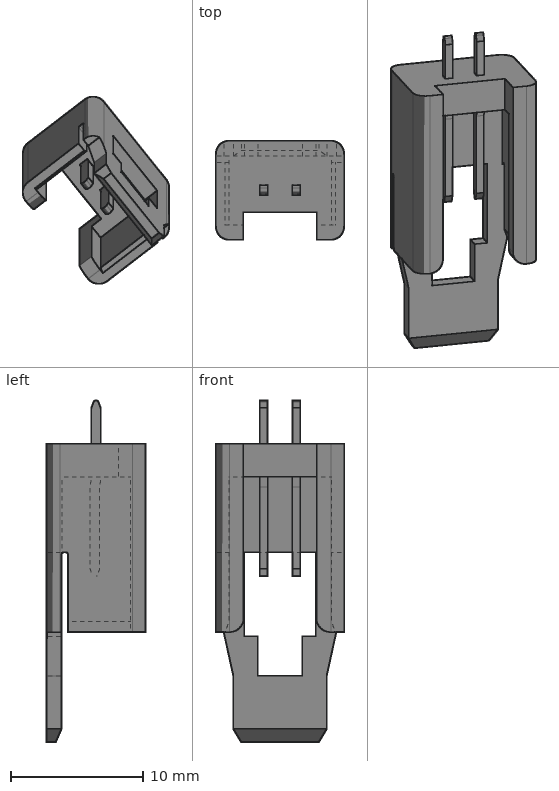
import cadquery as cq

housing_width = 9.7
housing_depth = 7.5
overall_height = 25.8
housing_bottom = 8.3
housing_top = 22.52
corner_radius = 1.03

opening_width = 5.52
opening_depth = 2.1
lip_thickness = 1.15
cavity_width = 7.75
cavity_roof = 20.05
entry_flare = 0.28
entry_flare_height = 0.83

plate_thickness = 1.15
plate_front = housing_depth - plate_thickness
slot_width = 0.46
slot_top = 14.32
slot_round = 0.15
window_width = 5.37
window_bottom = 8.0
notch_width = 3.35
notch_bottom = 5.03
tongue_width = 7.07
tongue_root_width = 8.51
tip_width = 5.85
tip_height = 1.0
tip_thickness = 0.72

pin_spacing = 2.48
pin_width = 0.6
pin_depth = 0.72
pin_bottom = 12.51
pin_y = housing_depth / 2
pin_taper = 0.57
pin_tip_depth = 0.35
pin_tip_crown = 0.1
pin_jog = 0.1
pin_jog_bottom = 19.27


def box_between(width, y_start, y_end, z_start, z_end):
    """Box centred on X between the given Y and Z limits."""
    return (
        cq.Workplane("XY")
        .box(width, y_end - y_start, z_end - z_start, centered=(True, False, False))
        .translate((0, y_start, z_start))
    )


def rounded_block(height):
    """Full housing outline with rounded vertical edges, standing on Z = 0."""
    block = box_between(housing_width, 0, housing_depth, 0, height)
    return block.edges("|Z").fillet(corner_radius)


def cavity():
    """Wide cavity, open at the bottom, with flared lower side walls."""
    half = cavity_width / 2
    flared_half = half + entry_flare
    flare_top = housing_bottom + entry_flare_height
    return (
        cq.Workplane("XZ", origin=(0, plate_front, 0))
        .polyline([
            (-flared_half, housing_bottom),
            (flared_half, housing_bottom),
            (half, flare_top),
            (half, cavity_roof),
            (-half, cavity_roof),
            (-half, flare_top),
        ])
        .close()
        .extrude(plate_front - lip_thickness)
    )


def front_opening():
    """Vertical channel between the front lips, its lower corners flaring out in arcs."""
    half = opening_width / 2
    round_top = housing_bottom + corner_radius
    flared_half = half + corner_radius
    channel = box_between(opening_width, 0, opening_depth, housing_bottom, housing_top)
    mouth = (
        cq.Workplane("XZ")
        .moveTo(-flared_half, housing_bottom)
        .lineTo(flared_half, housing_bottom)
        .radiusArc((half, round_top), corner_radius)
        .lineTo(-half, round_top)
        .radiusArc((-flared_half, housing_bottom), corner_radius)
        .close()
        .extrude(-lip_thickness)
    )
    return channel.union(mouth)


def side_slots():
    """Round-topped slot in front of the back plate, through both side walls."""
    slot = box_between(housing_width, plate_front - slot_width, plate_front, housing_bottom, slot_top)
    return slot.edges("|X and >Z").fillet(slot_round)


def housing():
    block = rounded_block(housing_top).intersect(
        box_between(housing_width, 0, housing_depth, housing_bottom, housing_top)
    )
    return block.cut(cavity()).cut(front_opening()).cut(side_slots())


def tongue():
    """Tapered tongue continuing the back plate, with a bevelled tip."""
    half = tongue_width / 2
    root_half = tongue_root_width / 2
    tip_half = tip_width / 2
    outline = (
        cq.Workplane("XZ", origin=(0, plate_front, 0))
        .polyline([
            (-tip_half, 0),
            (tip_half, 0),
            (half, tip_height),
            (half, notch_bottom),
            (root_half, housing_bottom),
            (-root_half, housing_bottom),
            (-half, notch_bottom),
            (-half, tip_height),
        ])
        .close()
        .extrude(-plate_thickness)
    )
    bevel = (
        cq.Workplane("YZ")
        .polyline([
            (plate_front, 0),
            (housing_depth - tip_thickness, 0),
            (plate_front, tip_height),
        ])
        .close()
        .extrude(tongue_width / 2, both=True)
    )
    return outline.intersect(rounded_block(housing_bottom)).cut(bevel)


def window():
    """Stepped opening through the back plate."""
    upper = box_between(window_width, plate_front, housing_depth, window_bottom, slot_top)
    notch = box_between(notch_width, plate_front, housing_depth, notch_bottom, window_bottom)
    return upper.union(notch)


def pin(x):
    """Contact pin with crowned, tapered ends and a backward jog below the cavity roof."""
    half = pin_depth / 2
    tip_half = pin_tip_depth / 2
    low_y = pin_y + pin_jog
    top_shoulder = overall_height - pin_taper
    low_shoulder = pin_bottom + pin_taper
    top_edge = overall_height - pin_tip_crown
    low_edge = pin_bottom + pin_tip_crown
    return (
        cq.Workplane("YZ", origin=(x, 0, 0))
        .moveTo(low_y - half, low_shoulder)
        .lineTo(low_y - half, pin_jog_bottom)
        .lineTo(pin_y - half, cavity_roof)
        .lineTo(pin_y - half, top_shoulder)
        .lineTo(pin_y - tip_half, top_edge)
        .threePointArc((pin_y, overall_height), (pin_y + tip_half, top_edge))
        .lineTo(pin_y + half, top_shoulder)
        .lineTo(pin_y + half, cavity_roof)
        .lineTo(low_y + half, pin_jog_bottom)
        .lineTo(low_y + half, low_shoulder)
        .lineTo(low_y + tip_half, low_edge)
        .threePointArc((low_y, pin_bottom), (low_y - tip_half, low_edge))
        .close()
        .extrude(pin_width / 2, both=True)
    )


result = housing().union(tongue()).cut(window())
for side in (-1, 1):
    result = result.union(pin(side * pin_spacing / 2))